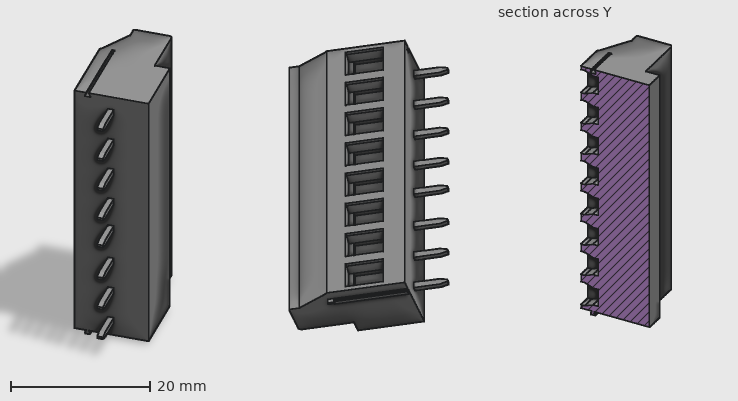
import cadquery as cq

pole_count = 8
pitch = 5.08
height = pole_count * pitch

depth = 18.0
width = 11.2
tower_left = 3.05
tower_right = 8.9
step_depth = 9.85
entry_face_end = 11.6
entry_face_bevel = 0.3
slope_end = 16.45
tower_left_radius = 0.25
tower_right_radius = 0.5

entry_y_min = 3.2
entry_y_max = 8.8
entry_height = 3.8
entry_lip = 0.65
entry_funnel_depth = 2.0
entry_taper = 0.53
clamp_height = entry_height - 2 * entry_taper
clamp_ledge = 0.7
clamp_depth = 2.8

pin_x = 5.5
pin_width = 0.9
pin_thickness = 0.9
pin_length = 5.0
pin_taper_length = 1.1
pin_tip_thickness = 0.35
shifted_pole = 3
shifted_pin_offset = 0.46

dome_x = 7.5
dome_radius = 0.52
dome_height = 0.5

rail_x = 1.97
rail_end = 11.9
rib_neck_width = 0.4
rib_wide_width = 0.8
rib_foot_width = 0.7
rib_wide_height = 0.37
rib_height = 0.6
rib_nose_length = 0.95
groove_mouth_width = 0.4
groove_floor_width = 0.87
groove_depth = 0.65


def pole_z(index):
    """Height of the centre of a pole."""
    return (index + 0.5) * pitch


def make_housing():
    outline = (
        cq.Workplane("XY")
        .moveTo(0, 0)
        .lineTo(width, 0)
        .lineTo(width, step_depth)
        .lineTo(tower_right, step_depth)
        .lineTo(tower_right, depth)
        .lineTo(tower_left, depth)
        .lineTo(tower_left, slope_end)
        .lineTo(entry_face_bevel, entry_face_end + entry_face_bevel)
        .lineTo(0, entry_face_end)
        .close()
    )
    housing = outline.extrude(height)
    middle = height / 2
    left_corner = cq.selectors.NearestToPointSelector((tower_left, depth, middle))
    right_corner = cq.selectors.NearestToPointSelector((tower_right, depth, middle))
    housing = housing.edges(left_corner).fillet(tower_left_radius)
    return housing.edges(right_corner).fillet(tower_right_radius)


def make_wire_entry(z):
    """Cutter: straight lip, tapering floor and ceiling, then a narrower clamp chamber."""
    half_entry = entry_height / 2
    half_clamp = clamp_height / 2
    funnel = (
        cq.Workplane("XZ", origin=(0, entry_y_max, z))
        .moveTo(0, -half_entry)
        .lineTo(entry_lip, -half_entry)
        .lineTo(entry_funnel_depth, -half_clamp)
        .lineTo(entry_funnel_depth, half_clamp)
        .lineTo(entry_lip, half_entry)
        .lineTo(0, half_entry)
        .close()
        .extrude(entry_y_max - entry_y_min)
    )
    chamber_width = entry_y_max - clamp_ledge - entry_y_min
    chamber = cq.Workplane("XY").box(
        clamp_depth, chamber_width, clamp_height, centered=(False, False, True)
    )
    return funnel.union(chamber.translate((0, entry_y_min, z)))


def make_pin(z):
    """Rectangular pin with a tip tapered in thickness only."""
    half = pin_thickness / 2
    half_tip = pin_tip_thickness / 2
    taper_start = pin_taper_length - pin_length
    return (
        cq.Workplane("YZ", origin=(pin_x - pin_width / 2, 0, z))
        .moveTo(0, -half)
        .lineTo(taper_start, -half)
        .lineTo(-pin_length, -half_tip)
        .lineTo(-pin_length, half_tip)
        .lineTo(taper_start, half)
        .lineTo(0, half)
        .close()
        .extrude(pin_width)
    )


def make_dome(z):
    centre_y = depth + dome_height - dome_radius
    return cq.Workplane("XY").sphere(dome_radius).translate((dome_x, centre_y, z))


def make_groove():
    """Cutter for the dovetail groove in the top face."""
    half_mouth = groove_mouth_width / 2
    half_floor = groove_floor_width / 2
    return (
        cq.Workplane("XZ", origin=(rail_x, 0, height))
        .moveTo(-half_mouth, 0)
        .lineTo(-half_floor, -groove_depth)
        .lineTo(half_floor, -groove_depth)
        .lineTo(half_mouth, 0)
        .close()
        .extrude(-rail_end)
    )


def make_rib():
    """Undercut rib below the housing, with a plain straight-sided nose at its far end."""
    half_neck = rib_neck_width / 2
    half_wide = rib_wide_width / 2
    half_foot = rib_foot_width / 2
    undercut_length = rail_end - rib_nose_length
    undercut = (
        cq.Workplane("XZ", origin=(rail_x, 0, 0))
        .moveTo(-half_neck, 0)
        .lineTo(-half_wide, -rib_wide_height)
        .lineTo(-half_foot, -rib_height)
        .lineTo(half_foot, -rib_height)
        .lineTo(half_wide, -rib_wide_height)
        .lineTo(half_neck, 0)
        .close()
        .extrude(-undercut_length)
    )
    nose = cq.Workplane("XY").box(
        rib_neck_width, rib_nose_length, rib_height, centered=(True, False, False)
    )
    return undercut.union(nose.translate((rail_x, undercut_length, -rib_height)))


result = make_housing()
result = result.cut(make_groove())
result = result.union(make_rib())

for pole in range(pole_count):
    result = result.cut(make_wire_entry(pole_z(pole)))
    pin_offset = shifted_pin_offset if pole == shifted_pole else 0
    result = result.union(make_pin(pole_z(pole) + pin_offset))

for boundary in range(1, pole_count):
    result = result.union(make_dome(boundary * pitch))